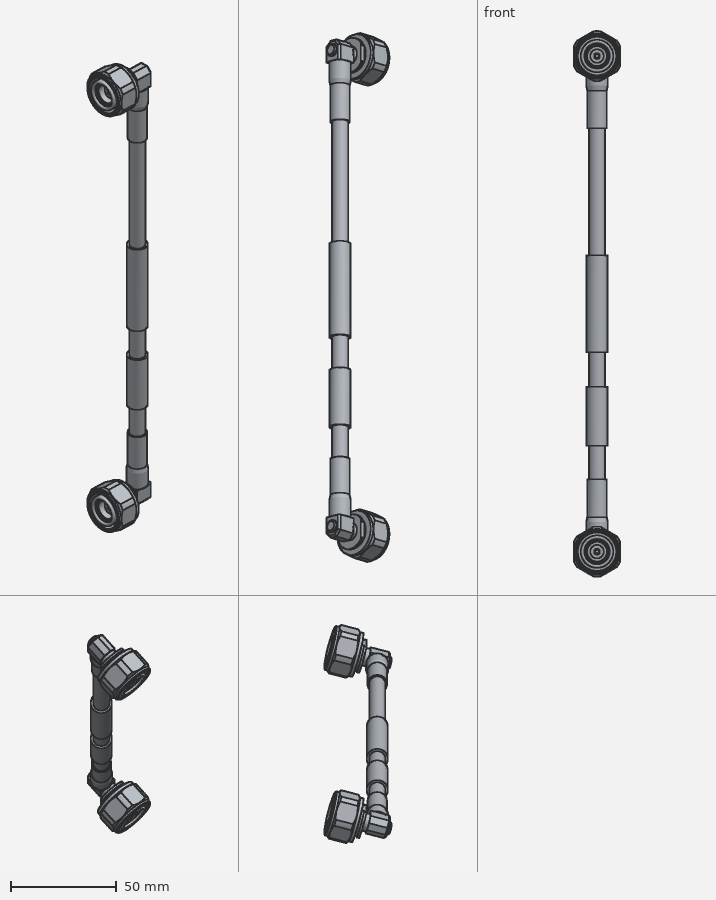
import cadquery as cq
import math


CABLE_RADIUS = 3.9
CABLE_HALF_LENGTH = 101.0
END_SLEEVE_RADIUS = 4.65
END_SLEEVE_LENGTH = 17.9
MARKER_RADIUS = 5.05
MARKER_SPANS = [(-23.0, 23.0), (-67.3, -39.3)]

NUT_ACROSS_FLATS = 22.0
NUT_CORNER_RADIUS = 11.9
NUT_RING_RADIUS = 10.8
NUT_RING_LENGTH = 1.7
NUT_CONE_LENGTH = 0.9
NUT_LENGTH = 13.6
NUT_BORE_RADIUS = 9.1
NUT_BORE_DEPTH = 10.0
NUT_RIM_CHAMFER = 0.5

OVERALL_HEIGHT = 258.49
OVERALL_DEPTH = 30.28
CONNECTOR_Z = OVERALL_HEIGHT / 2 - NUT_CORNER_RADIUS
CONTACT_REACH = 23.7
TIP_Y = -CONTACT_REACH
CAP_Y = TIP_Y + OVERALL_DEPTH

BLOCK_WIDTH = 9.2
TIP_TO_BLOCK = 19.2
BLOCK_FRONT_Y = TIP_Y + TIP_TO_BLOCK
CAP_THICKNESS = 1.2
CAP_CHAMFER = 0.7
CAP_RADIUS = 3.0
BLOCK_BACK_Y = CAP_Y - CAP_THICKNESS
BLOCK_HALF_HEIGHT = 5.15
BLOCK_TOP_CHAMFER = 2.8
BLOCK_BACK_CHAMFER = 0.9

FERRULE_RADIUS = 5.2
FERRULE_TAPER_LENGTH = 2.3
FERRULE_END_RADIUS = END_SLEEVE_RADIUS

STUB_RADIUS = 4.3
NUT_SETBACK = 0.4
NUT_FRONT_Y = TIP_Y + NUT_SETBACK
NUT_BACK_Y = NUT_FRONT_Y + NUT_LENGTH
COLLAR_RADIUS = 8.5
COLLAR_THICKNESS = 1.2
COLLAR_ACROSS_FLATS = 13.4
NECK_LENGTH = 1.4
COLLAR_FRONT_Y = NUT_BACK_Y + NECK_LENGTH
COLLAR_BACK_Y = COLLAR_FRONT_Y + COLLAR_THICKNESS
BARREL_RADIUS = 7.7
BARREL_BORE_RADIUS = 6.0
BARREL_BORE_DEPTH = 1.5
STEP_BORE_RADIUS = 5.4
STEP_BORE_DEPTH = 2.5
LIP_RADIUS = (BARREL_RADIUS - BARREL_BORE_RADIUS) / 2
INNER_BORE_RADIUS = 4.7
INNER_BORE_DEPTH = 9.0
CONTACT_RADIUS = 3.2
CONTACT_SETBACK = 5.0
SOCKET_RADIUS = 1.4
SOCKET_DEPTH = 3.0
PIN_RADIUS = 0.9
PIN_LENGTH = 2.0


def y_cylinder(radius, start_y, end_y):
    """Cylinder on the connector axis between two Y positions."""
    plane = cq.Plane(origin=(0, start_y, CONNECTOR_Z), xDir=(1, 0, 0), normal=(0, 1, 0))
    return cq.Workplane(plane).circle(radius).extrude(end_y - start_y)


def sleeve(radius, bottom_z, top_z):
    """Tube that fits closely around the cable."""
    ring = cq.Workplane("XY", origin=(0, 0, bottom_z)).circle(radius).circle(CABLE_RADIUS)
    return ring.extrude(top_z - bottom_z)


def make_nut():
    plane = cq.Plane(origin=(0, NUT_FRONT_Y, CONNECTOR_Z), xDir=(0, 0, 1), normal=(0, 1, 0))
    corner_diameter = NUT_ACROSS_FLATS / math.cos(math.pi / 6)
    hexagon = cq.Workplane(plane).polygon(6, corner_diameter).extrude(NUT_LENGTH)
    cone_start = NUT_FRONT_Y + NUT_RING_LENGTH
    cone_end = NUT_BACK_Y - NUT_RING_LENGTH
    envelope = (
        cq.Workplane("XY")
        .moveTo(0, NUT_FRONT_Y)
        .lineTo(NUT_RING_RADIUS, NUT_FRONT_Y)
        .lineTo(NUT_RING_RADIUS, cone_start)
        .lineTo(NUT_CORNER_RADIUS, cone_start + NUT_CONE_LENGTH)
        .lineTo(NUT_CORNER_RADIUS, cone_end - NUT_CONE_LENGTH)
        .lineTo(NUT_RING_RADIUS, cone_end)
        .lineTo(NUT_RING_RADIUS, NUT_BACK_Y)
        .lineTo(0, NUT_BACK_Y)
        .close()
        .revolve(360, (0, 0, 0), (0, 1, 0))
        .translate((0, 0, CONNECTOR_Z))
    )
    front_bore = y_cylinder(NUT_BORE_RADIUS, NUT_FRONT_Y, NUT_FRONT_Y + NUT_BORE_DEPTH)
    barrel_hole = y_cylinder(BARREL_RADIUS, NUT_FRONT_Y, NUT_BACK_Y)
    nut = hexagon.intersect(envelope).cut(front_bore).cut(barrel_hole)
    return nut.faces("<Y").chamfer(NUT_RIM_CHAMFER)


def make_elbow():
    """Elbow block with its back cap and the ferrule that takes the cable."""
    depth = BLOCK_BACK_Y - BLOCK_FRONT_Y
    block = (
        cq.Workplane("XY")
        .box(BLOCK_WIDTH, depth, 2 * BLOCK_HALF_HEIGHT)
        .translate((0, (BLOCK_BACK_Y + BLOCK_FRONT_Y) / 2, CONNECTOR_Z))
        .edges("|Y and >Z")
        .chamfer(BLOCK_TOP_CHAMFER)
        .faces(">Y")
        .edges("not <Z")
        .chamfer(BLOCK_BACK_CHAMFER)
    )
    cap = y_cylinder(CAP_RADIUS, BLOCK_BACK_Y, CAP_Y).faces(">Y").chamfer(CAP_CHAMFER)
    taper_top = CABLE_HALF_LENGTH + FERRULE_TAPER_LENGTH
    block_bottom = CONNECTOR_Z - BLOCK_HALF_HEIGHT
    ferrule = (
        cq.Workplane("XZ")
        .moveTo(0, CABLE_HALF_LENGTH)
        .lineTo(FERRULE_END_RADIUS, CABLE_HALF_LENGTH)
        .lineTo(FERRULE_RADIUS, taper_top)
        .lineTo(FERRULE_RADIUS, block_bottom)
        .lineTo(0, block_bottom)
        .close()
        .revolve(360, (0, 0, 0), (0, 1, 0))
    )
    return block.union(cap).union(ferrule)


def make_barrel():
    """Mating barrel with rounded lip, flatted collar and centre contact."""
    lip_y = TIP_Y + LIP_RADIUS
    bore_floor = TIP_Y + BARREL_BORE_DEPTH
    step_floor = TIP_Y + STEP_BORE_DEPTH
    inner_floor = TIP_Y + INNER_BORE_DEPTH
    contact_y = TIP_Y + CONTACT_SETBACK
    socket_floor = contact_y + SOCKET_DEPTH
    pin_y = socket_floor - PIN_LENGTH
    barrel = (
        cq.Workplane("XY")
        .moveTo(0, pin_y)
        .lineTo(PIN_RADIUS, pin_y)
        .lineTo(PIN_RADIUS, socket_floor)
        .lineTo(SOCKET_RADIUS, socket_floor)
        .lineTo(SOCKET_RADIUS, contact_y)
        .lineTo(CONTACT_RADIUS, contact_y)
        .lineTo(CONTACT_RADIUS, inner_floor)
        .lineTo(INNER_BORE_RADIUS, inner_floor)
        .lineTo(INNER_BORE_RADIUS, step_floor)
        .lineTo(STEP_BORE_RADIUS, step_floor)
        .lineTo(STEP_BORE_RADIUS, bore_floor)
        .lineTo(BARREL_BORE_RADIUS, bore_floor)
        .lineTo(BARREL_BORE_RADIUS, lip_y)
        .threePointArc((BARREL_BORE_RADIUS + LIP_RADIUS, TIP_Y), (BARREL_RADIUS, lip_y))
        .lineTo(BARREL_RADIUS, NUT_BACK_Y)
        .lineTo(0, NUT_BACK_Y)
        .close()
        .revolve(360, (0, 0, 0), (0, 1, 0))
        .translate((0, 0, CONNECTOR_Z))
    )
    neck = y_cylinder(BARREL_RADIUS, NUT_BACK_Y, COLLAR_FRONT_Y)
    collar = y_cylinder(COLLAR_RADIUS, COLLAR_FRONT_Y, COLLAR_BACK_Y)
    flats = (
        cq.Workplane("XY")
        .box(COLLAR_ACROSS_FLATS, COLLAR_BACK_Y - NUT_BACK_Y, 2 * COLLAR_RADIUS)
        .translate((0, (COLLAR_BACK_Y + NUT_BACK_Y) / 2, CONNECTOR_Z))
    )
    flatted_collar = neck.union(collar).intersect(flats)
    stub = y_cylinder(STUB_RADIUS, COLLAR_BACK_Y, BLOCK_FRONT_Y)
    return barrel.union(flatted_collar).union(stub)


cable = (
    cq.Workplane("XY", origin=(0, 0, -CABLE_HALF_LENGTH))
    .circle(CABLE_RADIUS)
    .extrude(2 * CABLE_HALF_LENGTH)
)
markers = [sleeve(MARKER_RADIUS, bottom_z, top_z) for bottom_z, top_z in MARKER_SPANS]

upper_end = [
    make_elbow().union(make_barrel()),
    make_nut(),
    sleeve(END_SLEEVE_RADIUS, CABLE_HALF_LENGTH - END_SLEEVE_LENGTH, CABLE_HALF_LENGTH),
]
lower_end = [body.mirror("XY") for body in upper_end]

result = cq.Compound.makeCompound([body.val() for body in [cable, *markers, *upper_end, *lower_end]])